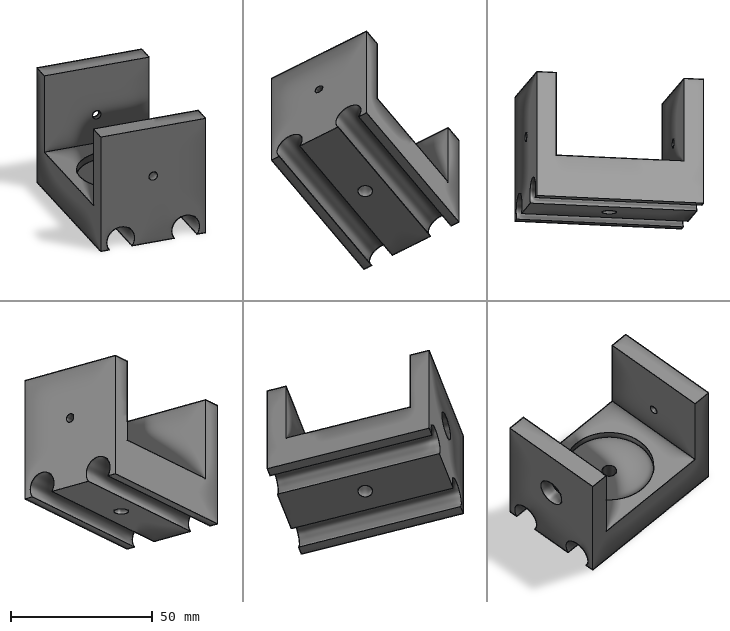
import cadquery as cq

length = 60.0
width = 40.0
height = 45.0
wall_thickness = 7.0
floor_thickness = 15.0

recess_diameter = 31.5
recess_depth = 2.5
floor_hole_diameter = 5.1

axis_height = 26.0
bore_diameter = 10.0
bore_depth = 5.0
small_hole_diameter = 3.2

channel_diameter = 10.5
channel_spacing = 24.8
channel_height = 3.0


def cylinder_along_x(diameter, x_start, x_length, y, z):
    """Solid cylinder parallel to X, starting at x_start."""
    return (
        cq.Workplane("YZ", origin=(x_start, y, z))
        .circle(diameter / 2)
        .extrude(x_length)
    )


def make_bracket():
    """Block with the space between the two walls removed."""
    block = cq.Workplane("XY").box(length, width, height, centered=(True, True, False))
    gap = (
        cq.Workplane("XY", origin=(0, 0, floor_thickness))
        .rect(length - 2 * wall_thickness, width)
        .extrude(height - floor_thickness)
    )
    return block.cut(gap)


def cut_floor_features(body):
    """Sink the round recess and drill its centre hole through the floor."""
    recess = (
        cq.Workplane("XY", origin=(0, 0, floor_thickness - recess_depth))
        .circle(recess_diameter / 2)
        .extrude(recess_depth)
    )
    hole = cq.Workplane("XY").circle(floor_hole_diameter / 2).extrude(floor_thickness)
    return body.cut(recess).cut(hole)


def cut_wall_holes(body):
    """Counterbore the -X wall and drill both walls on the same axis."""
    bore = cylinder_along_x(bore_diameter, -length / 2, bore_depth, 0, axis_height)
    small_hole = cylinder_along_x(small_hole_diameter, -length / 2, length, 0, axis_height)
    return body.cut(bore).cut(small_hole)


def cut_channels(body):
    """Run both open channels along the full length of the underside."""
    for side in (-1, 1):
        y = side * channel_spacing / 2
        body = body.cut(cylinder_along_x(channel_diameter, -length / 2, length, y, channel_height))
    return body


result = cut_channels(cut_wall_holes(cut_floor_features(make_bracket())))